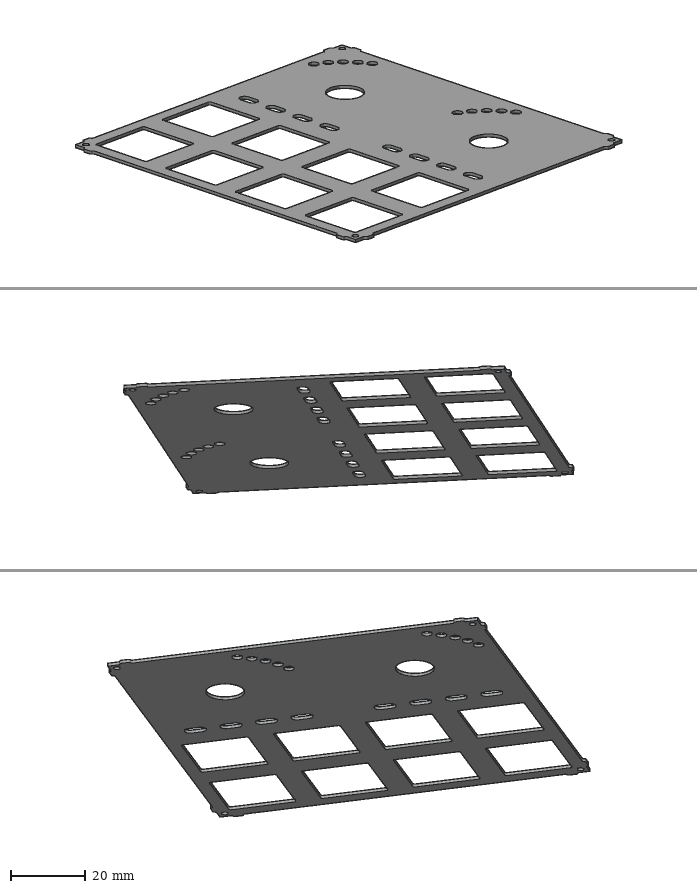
import cadquery as cq
import math

overall_size = 105.6
panel_size = 104.0
thickness = 0.91

tab_inset = 5.1
tab_root_width = 3.4
tab_tip_width = 2.5
tab_root_fillet = 0.4
tab_tip_fillet = 0.3
tab_foot_width = 6.3
tab_foot_depth = 1.1

mount_hole_diameter = 1.8
mount_hole_inset = 2.0

knob_hole_diameter = 10.5
knob_spacing = 53.3
knob_y = 26.6
indicator_diameter = 2.9
indicator_arc_radius = 23.0
indicator_angles = (115, 125, 135, 145, 155)

slot_length = 6.0
slot_width = 3.0
slots_per_row = 4
slot_row_span = 30.0
slot_pitch = slot_row_span / (slots_per_row - 1)
slot_y = 4.8

window_size = 18.8
window_corner_radius = 0.5
window_pitch = 25.9
window_columns = 4
window_rows = 2

panel_edge = panel_size / 2
tab_offset = panel_edge - tab_inset
mount_hole_offset = panel_edge - mount_hole_inset
knob_centres = [(side * knob_spacing / 2, knob_y) for side in (-1, 1)]


def edge_tab():
    """Tapered tab at the middle of the +Y side, on a foot that lies inside the panel."""
    tip_edge = overall_size / 2
    foot_edge = panel_edge - tab_foot_depth
    right_side = [
        (tab_tip_width / 2, tip_edge),
        (tab_root_width / 2, panel_edge),
        (tab_foot_width / 2, panel_edge),
        (tab_foot_width / 2, foot_edge),
    ]
    left_side = [(-x, y) for x, y in reversed(right_side)]
    tab = cq.Workplane("XY").polyline(right_side + left_side).close().extrude(thickness)
    tab = tab.edges("|Z and >Y").fillet(tab_tip_fillet)
    root_corners = [(side * tab_root_width / 2, panel_edge, thickness / 2) for side in (-1, 1)]
    for corner in root_corners:
        tab = tab.edges(cq.selectors.NearestToPointSelector(corner)).fillet(tab_root_fillet)
    return tab


def panel_with_tabs():
    """Square panel with a tab near both ends of every side."""
    panel = cq.Workplane("XY").rect(panel_size, panel_size).extrude(thickness)
    for offset in (-tab_offset, tab_offset):
        tab = edge_tab().translate((offset, 0, 0))
        for turn in range(4):
            panel = panel.union(tab.rotate((0, 0, 0), (0, 0, 1), 90 * turn))
    return panel


def round_cutters(centres, diameter):
    """Through cylinders of one diameter at the given centres."""
    return cq.Workplane("XY").pushPoints(centres).circle(diameter / 2).extrude(thickness)


def indicator_centres(knob_x):
    """Centres of the indicator holes on the arc around one knob."""
    return [
        (
            knob_x + indicator_arc_radius * math.cos(math.radians(angle)),
            knob_y + indicator_arc_radius * math.sin(math.radians(angle)),
        )
        for angle in indicator_angles
    ]


def slot_cutters(row_x):
    """Row of round-ended slots centred on row_x."""
    return (
        cq.Workplane("XY")
        .center(row_x, slot_y)
        .rarray(slot_pitch, 1.1, slots_per_row, 1)
        .slot2D(slot_length, slot_width)
        .extrude(thickness)
    )


def window_cutters():
    """Grid of rounded squares filling the half of the panel below its centre line."""
    return (
        cq.Workplane("XY")
        .center(0, -window_pitch * window_rows / 2)
        .rarray(window_pitch, window_pitch, window_columns, window_rows)
        .rect(window_size, window_size)
        .extrude(thickness)
        .edges("|Z")
        .fillet(window_corner_radius)
    )


mount_centres = [(x * mount_hole_offset, y * mount_hole_offset) for x in (-1, 1) for y in (-1, 1)]

result = panel_with_tabs()
result = result.cut(round_cutters(mount_centres, mount_hole_diameter))
result = result.cut(round_cutters(knob_centres, knob_hole_diameter))
for knob_x, _ in knob_centres:
    result = result.cut(round_cutters(indicator_centres(knob_x), indicator_diameter))
    result = result.cut(slot_cutters(knob_x))
result = result.cut(window_cutters())